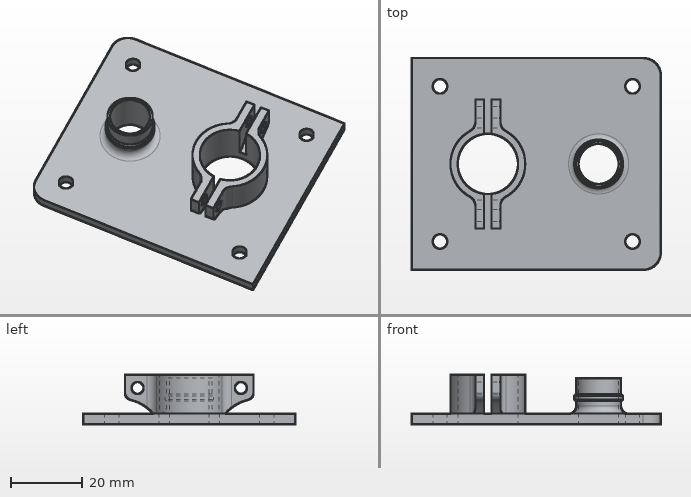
import cadquery as cq
import math

PLATE_LENGTH = 70
PLATE_WIDTH = 59.5
PLATE_THICKNESS = 3.0
PLATE_CORNER_RADIUS = 5.0
MOUNT_HOLE_DIAMETER = 4.0
MOUNT_HOLE_MARGIN = 8.0

CLAMP_X = -13.6
CLAMP_BORE = 16.9
CLAMP_DIAMETER = 21
CLAMP_TOP = 14
CLAMP_GAP = 2.0
EAR_PAIR_WIDTH = 7
EAR_SPAN = 36.1
EAR_ROOT_FILLET = 3.0
BOLT_HOLE_DIAMETER = 3.3
BOLT_HOLE_SPACING = 29.0
BOLT_HOLE_Z = 10.2

EAR_CORNER_Z = 8.8
EAR_CORNER_RADIUS = 2.0
EAR_CORNER_SWEEP = 76
EAR_FLARE_MID_Y = 13.45
EAR_FLARE_MID_Z = 5.7
EAR_FLARE_END_Y = 10.15

SPIGOT_X = 17.5
SPIGOT_BORE = 11.2
SPIGOT_DIAMETER = 12.7
SPIGOT_FLARE_DIAMETER = 16.9
SPIGOT_HEIGHT = 9.95
BEAD_DIAMETER = 13.7
BEAD_BASE_HEIGHT = 3.5
BEAD_LENGTH = 1.95


def make_plate():
    hole_spacing_x = PLATE_LENGTH - 2 * MOUNT_HOLE_MARGIN
    hole_spacing_y = PLATE_WIDTH - 2 * MOUNT_HOLE_MARGIN
    plate = cq.Workplane("XY").box(
        PLATE_LENGTH, PLATE_WIDTH, PLATE_THICKNESS, centered=(True, True, False)
    )
    plate = plate.edges("|Z and >X").fillet(PLATE_CORNER_RADIUS)
    return (
        plate.faces(">Z")
        .workplane(origin=(0, 0, PLATE_THICKNESS))
        .rect(hole_spacing_x, hole_spacing_y, forConstruction=True)
        .vertices()
        .hole(MOUNT_HOLE_DIAMETER)
    )


def make_ear_relief():
    """Space below the +Y ears, centred on X = 0."""
    tip_y = EAR_SPAN / 2
    outside_y = tip_y + EAR_CORNER_RADIUS
    corner_y = tip_y - EAR_CORNER_RADIUS

    def corner_point(degrees):
        angle = math.radians(degrees)
        return (
            corner_y + EAR_CORNER_RADIUS * math.cos(angle),
            EAR_CORNER_Z - EAR_CORNER_RADIUS * math.sin(angle),
        )

    return (
        cq.Workplane("YZ")
        .moveTo(outside_y, PLATE_THICKNESS)
        .lineTo(outside_y, EAR_CORNER_Z)
        .lineTo(tip_y, EAR_CORNER_Z)
        .threePointArc(corner_point(EAR_CORNER_SWEEP / 2), corner_point(EAR_CORNER_SWEEP))
        .threePointArc((EAR_FLARE_MID_Y, EAR_FLARE_MID_Z), (EAR_FLARE_END_Y, PLATE_THICKNESS))
        .close()
        .extrude(CLAMP_DIAMETER / 2, both=True)
    )


def make_clamp():
    """Clamp body before boring, centred on X = 0."""
    height = CLAMP_TOP - PLATE_THICKNESS
    base = cq.Workplane("XY").workplane(offset=PLATE_THICKNESS)
    ring = base.circle(CLAMP_DIAMETER / 2).extrude(height)
    ears = base.rect(EAR_PAIR_WIDTH, EAR_SPAN).extrude(height)
    clamp = ring.union(ears)

    root_box = cq.selectors.BoxSelector(
        (-CLAMP_DIAMETER / 2, -CLAMP_DIAMETER / 2, 0),
        (CLAMP_DIAMETER / 2, CLAMP_DIAMETER / 2, CLAMP_TOP),
    )
    roots = clamp.edges("|Z").edges(root_box)
    clamp = roots.fillet(EAR_ROOT_FILLET)

    relief = make_ear_relief()
    clamp = clamp.cut(relief).cut(relief.mirror("XZ"))
    clamp = clamp.cut(base.rect(CLAMP_GAP, EAR_SPAN).extrude(height))
    bolt_holes = (
        cq.Workplane("YZ")
        .pushPoints([(side * BOLT_HOLE_SPACING / 2, BOLT_HOLE_Z) for side in (-1, 1)])
        .circle(BOLT_HOLE_DIAMETER / 2)
        .extrude(EAR_PAIR_WIDTH, both=True)
    )
    return clamp.cut(bolt_holes)


def make_spigot():
    """Flared tube with a chamfered bead, before boring, centred on X = 0."""
    tube_radius = SPIGOT_DIAMETER / 2
    flare_edge = SPIGOT_FLARE_DIAMETER / 2
    flare_radius = flare_edge - tube_radius
    flare_inset = flare_radius * (1 - math.sqrt(0.5))
    bead_radius = BEAD_DIAMETER / 2
    bead_chamfer = bead_radius - tube_radius
    bead_top = BEAD_BASE_HEIGHT + BEAD_LENGTH
    profile = (
        cq.Workplane("XZ")
        .lineTo(flare_edge, 0)
        .threePointArc((tube_radius + flare_inset, flare_inset), (tube_radius, flare_radius))
        .lineTo(tube_radius, BEAD_BASE_HEIGHT)
        .lineTo(bead_radius, BEAD_BASE_HEIGHT + bead_chamfer)
        .lineTo(bead_radius, bead_top - bead_chamfer)
        .lineTo(tube_radius, bead_top)
        .lineTo(tube_radius, SPIGOT_HEIGHT)
        .lineTo(0, SPIGOT_HEIGHT)
        .close()
    )
    return profile.revolve(360, (0, 0, 0), (0, 1, 0)).translate((0, 0, PLATE_THICKNESS))


def make_bore(x, diameter):
    return cq.Workplane("XY").center(x, 0).circle(diameter / 2).extrude(CLAMP_TOP)


result = (
    make_plate()
    .union(make_clamp().translate((CLAMP_X, 0, 0)))
    .union(make_spigot().translate((SPIGOT_X, 0, 0)))
    .cut(make_bore(CLAMP_X, CLAMP_BORE))
    .cut(make_bore(SPIGOT_X, SPIGOT_BORE))
)